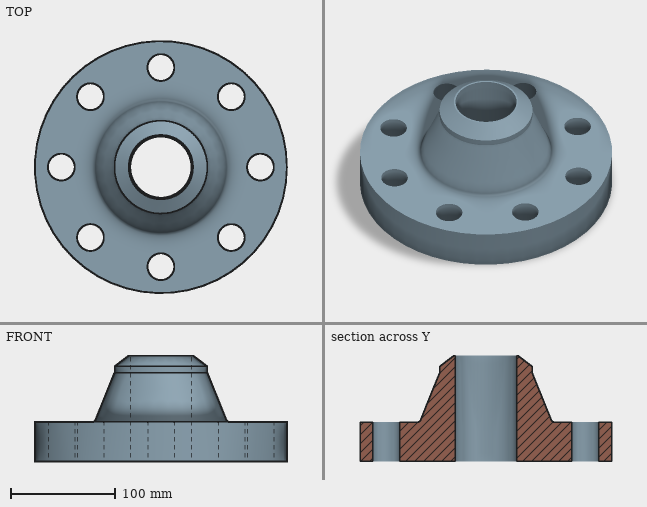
import cadquery as cq
import math

flange_diameter = 241.3
flange_thickness = 38.1
overall_height = 101.6

bolt_circle_diameter = 190.5
bolt_hole_diameter = 25.4
bolt_hole_count = 8

hub_base_diameter = 127.0
hub_root_fillet = 3.0
pipe_outer_diameter = 88.9
bore_diameter = 58.42
weld_collar_height = 6.0
bevel_angle = 37.5
weld_land_width = 1.6

flange_radius = flange_diameter / 2
hub_base_radius = hub_base_diameter / 2
pipe_radius = pipe_outer_diameter / 2
bore_radius = bore_diameter / 2

land_radius = bore_radius + weld_land_width
bevel_height = (pipe_radius - land_radius) * math.tan(math.radians(bevel_angle))
collar_top_z = overall_height - bevel_height
collar_bottom_z = collar_top_z - weld_collar_height


def make_body():
    """Revolve the flange, hub and bevelled weld end about Z, then round the hub root."""
    profile = [
        (bore_radius, 0),
        (flange_radius, 0),
        (flange_radius, flange_thickness),
        (hub_base_radius, flange_thickness),
        (pipe_radius, collar_bottom_z),
        (pipe_radius, collar_top_z),
        (land_radius, overall_height),
        (bore_radius, overall_height),
    ]
    body = cq.Workplane("XZ").polyline(profile).close().revolve(360, (0, 0, 0), (0, 1, 0))
    hub_root = cq.selectors.RadiusNthSelector(-2)
    return body.edges("%CIRCLE").edges(hub_root).fillet(hub_root_fillet)


def make_bolt_holes():
    """Cylinders through the flange, evenly spaced on the bolt circle."""
    return (
        cq.Workplane("XY")
        .polarArray(bolt_circle_diameter / 2, 0, 360, bolt_hole_count)
        .circle(bolt_hole_diameter / 2)
        .extrude(flange_thickness)
    )


result = make_body().cut(make_bolt_holes())